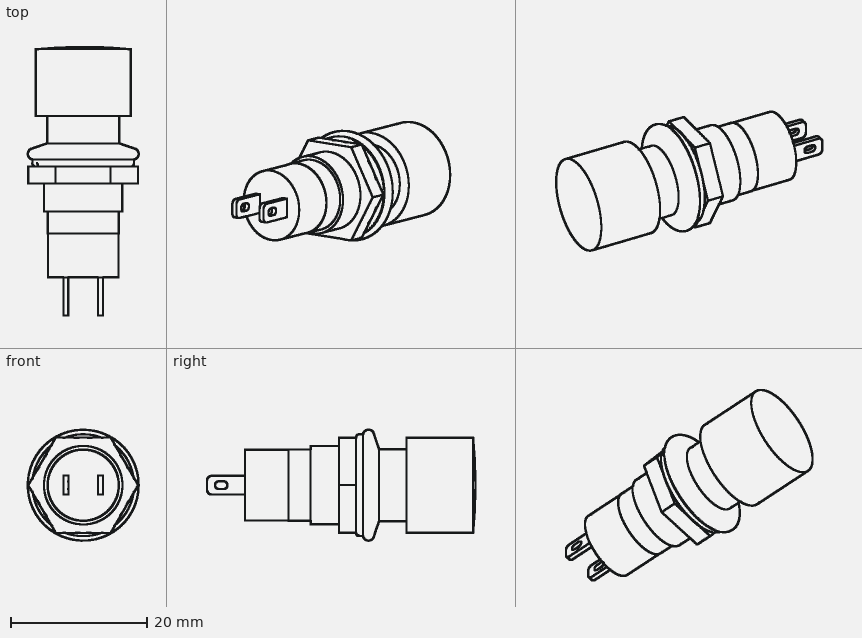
import cadquery as cq
import math


button_diameter = 13.99
neck_diameter = 10.62
flange_diameter = 16.31
washer_diameter = 14.96
barrel_diameter = 11.53
sleeve_diameter = 10.49
base_diameter = 10.41

dome_height = 0.35
button_length = 9.81
neck_length = 3.99
flange_length = 2.39
washer_length = 1.01
nut_length = 2.51
barrel_length = 4.13
sleeve_length = 3.23
base_length = 6.41
terminal_length = 5.59

flange_rim_radius = 0.83
washer_edge_radius = 0.48
nut_across_flats = 13.97

terminal_spacing = 5.08
terminal_width = 2.79
terminal_thickness = 0.76
terminal_corner_radius = 0.76
slot_length = 1.8
slot_width = 1.1
slot_center_from_tip = 2.1

flange_back_y = washer_length
flange_front_y = flange_back_y + flange_length
button_back_y = flange_front_y + neck_length
dome_edge_y = button_back_y + button_length
nut_back_y = -nut_length
barrel_end_y = nut_back_y - barrel_length
sleeve_end_y = barrel_end_y - sleeve_length
base_end_y = sleeve_end_y - base_length
terminal_tip_y = base_end_y - terminal_length


def cylinder(diameter, start_y, end_y):
    """Solid cylinder on the Y axis between two stations."""
    return cq.Workplane("XZ", origin=(0, end_y, 0)).circle(diameter / 2).extrude(end_y - start_y)


def revolve_about_y(profile):
    """Turn a closed XY profile about the Y axis."""
    return profile.close().revolve(360, (0, 0, 0), (0, 1, 0))


def make_button():
    """Cylindrical push button with a shallow spherical crown."""
    radius = button_diameter / 2
    crown_radius = (radius**2 + dome_height**2) / (2 * dome_height)
    half_chord = radius / 2
    half_chord_drop = crown_radius - math.sqrt(crown_radius**2 - half_chord**2)
    crown_y = dome_edge_y + dome_height
    profile = (
        cq.Workplane("XY")
        .moveTo(0, button_back_y)
        .lineTo(radius, button_back_y)
        .lineTo(radius, dome_edge_y)
        .threePointArc((half_chord, crown_y - half_chord_drop), (0, crown_y))
    )
    return revolve_about_y(profile)


def make_flange():
    """Flange with a conical front, from the neck, blending tangentially into a round rim."""
    neck_radius = neck_diameter / 2
    rim_x = flange_diameter / 2 - flange_rim_radius
    rim_y = flange_back_y + flange_rim_radius
    neck_dx = neck_radius - rim_x
    neck_dy = flange_front_y - rim_y
    neck_distance = math.hypot(neck_dx, neck_dy)
    tangent_angle = math.atan2(neck_dy, neck_dx) - math.acos(flange_rim_radius / neck_distance)
    tangent_point = (
        rim_x + flange_rim_radius * math.cos(tangent_angle),
        rim_y + flange_rim_radius * math.sin(tangent_angle),
    )
    profile = (
        cq.Workplane("XY")
        .moveTo(0, flange_back_y)
        .lineTo(rim_x, flange_back_y)
        .threePointArc((flange_diameter / 2, rim_y), tangent_point)
        .lineTo(neck_radius, flange_front_y)
        .lineTo(0, flange_front_y)
    )
    return revolve_about_y(profile)


def make_washer():
    """Washer behind the flange, rounded at the edge next to the nut."""
    return cylinder(washer_diameter, 0, flange_back_y).faces("<Y").edges().fillet(washer_edge_radius)


def make_nut():
    """Hex nut with two corners on the X axis."""
    across_corners = nut_across_flats / math.cos(math.radians(30))
    return cq.Workplane("XZ").polygon(6, across_corners).extrude(nut_length)


def make_terminal(center_x):
    """Flat solder terminal with a rounded tip and a wire slot."""
    blade = (
        cq.Workplane("XY")
        .box(terminal_thickness, terminal_length, terminal_width)
        .faces("<Y")
        .edges("|X")
        .fillet(terminal_corner_radius)
        .translate((center_x, terminal_tip_y + terminal_length / 2, 0))
    )
    slot = (
        cq.Workplane("YZ", origin=(center_x, terminal_tip_y + slot_center_from_tip, 0))
        .slot2D(slot_length, slot_width)
        .extrude(terminal_thickness, both=True)
    )
    return blade.cut(slot)


result = make_button()
result = result.union(cylinder(neck_diameter, flange_front_y, button_back_y))
result = result.union(make_flange())
result = result.union(make_washer())
result = result.union(make_nut())
result = result.union(cylinder(barrel_diameter, barrel_end_y, nut_back_y))
result = result.union(cylinder(sleeve_diameter, sleeve_end_y, barrel_end_y))
result = result.union(cylinder(base_diameter, base_end_y, sleeve_end_y))
for side in (-1, 1):
    result = result.union(make_terminal(side * terminal_spacing / 2))